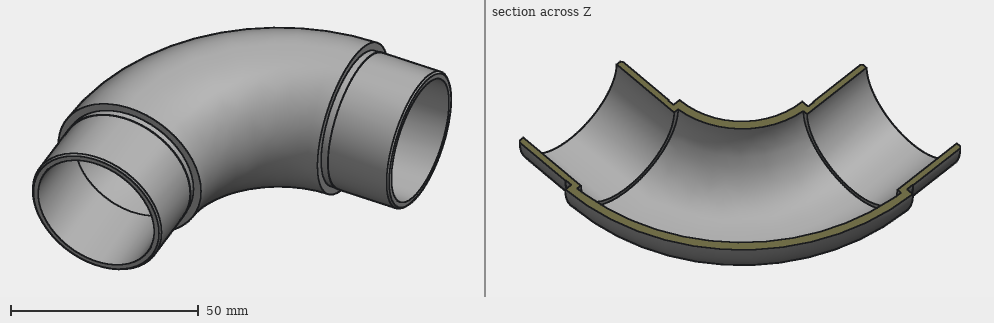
import cadquery as cq

overall = 85.5
bend_diameter = 42.4
spigot_diameter = 38.3
bend_bore_diameter = 37.2
spigot_bore_diameter = 34.45
spigot_length = 20.0
neck_length = 2.05
neck_insertion = 2.05
neck_diameter = 38.0
end_chamfer = 0.5

bend_radius = overall - spigot_length - bend_diameter / 2


def quarter_bend(diameter):
    """Quarter torus from (-bend_radius, 0) to (0, bend_radius) about the Z axis."""
    return (
        cq.Workplane("XZ")
        .center(-bend_radius, 0)
        .circle(diameter / 2)
        .revolve(90, (bend_radius, 0, 0), (bend_radius, -1, 0))
    )


def spigot(end_plane):
    """Necked, chamfered plug growing out of one end of the bend."""
    neck = (
        cq.Workplane(end_plane)
        .workplane(offset=-neck_insertion)
        .circle(neck_diameter / 2)
        .extrude(neck_insertion + neck_length)
    )
    sleeve = (
        cq.Workplane(end_plane)
        .workplane(offset=neck_length)
        .circle(spigot_diameter / 2)
        .extrude(spigot_length - neck_length)
        .faces(cq.selectors.DirectionMinMaxSelector(end_plane.zDir, True))
        .chamfer(end_chamfer)
    )
    return neck.union(sleeve)


def spigot_bore(end_plane):
    """Straight bore through one spigot and the inserted part of its neck."""
    return (
        cq.Workplane(end_plane)
        .workplane(offset=-neck_insertion)
        .circle(spigot_bore_diameter / 2)
        .extrude(neck_insertion + spigot_length)
    )


end_planes = [
    cq.Plane(origin=(-bend_radius, 0, 0), xDir=(1, 0, 0), normal=(0, -1, 0)),
    cq.Plane(origin=(0, bend_radius, 0), xDir=(0, 1, 0), normal=(1, 0, 0)),
]

result = quarter_bend(bend_diameter).cut(quarter_bend(bend_bore_diameter))

for end_plane in end_planes:
    result = result.union(spigot(end_plane).cut(spigot_bore(end_plane)))